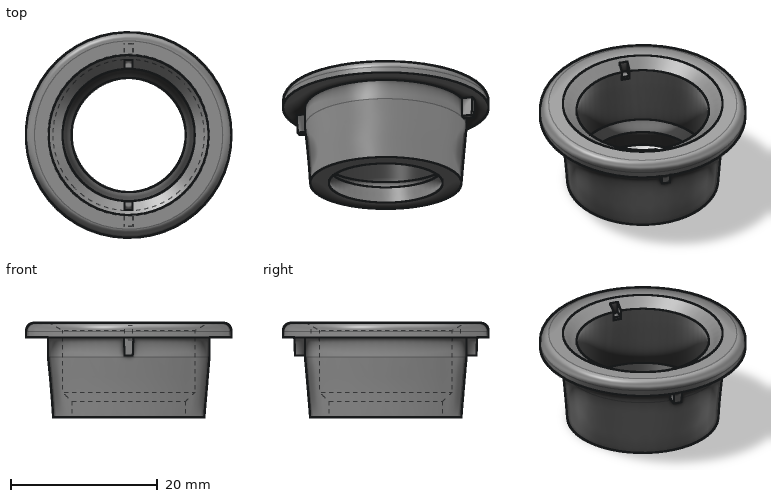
import cadquery as cq

total_height = 12.9
flange_radius = 14.0
flange_thickness = 2.0
flange_round = 1.2
flange_bottom = total_height - flange_thickness

barrel_radius = 11.0
barrel_end_radius = 10.3
straight_length = 2.7
taper_top = flange_bottom - straight_length

bore_radius = 9.0
outlet_radius = 7.75
countersink_radius = 10.87
countersink_depth = 1.1
seat_depth = 9.5
seat_height = 1.2
countersink_bottom = total_height - countersink_depth
seat_top = total_height - seat_depth
seat_bottom = seat_top - seat_height

lug_height = 2.5
lug_reach = 12.45
lug_end_reach = 12.35
lug_width = 1.3
lug_end_width = 1.1
lug_root = (bore_radius + barrel_radius) / 2

notch_width = 1.1
notch_reach = 10.2
notch_depth = flange_thickness
notch_overlap = 1.0
notch_root = bore_radius - notch_overlap

recess_inset = 0.05
recess_reach = bore_radius + recess_inset
recess_depth = 2.4

lug_sides = (0, 180)


def make_body():
    """Revolve the flanged, hollow profile about Z."""
    profile = (
        cq.Workplane("XZ")
        .moveTo(outlet_radius, 0)
        .lineTo(barrel_end_radius, 0)
        .lineTo(barrel_radius, taper_top)
        .lineTo(barrel_radius, flange_bottom)
        .lineTo(flange_radius, flange_bottom)
        .lineTo(flange_radius, total_height - flange_round)
        .radiusArc((flange_radius - flange_round, total_height), -flange_round)
        .lineTo(countersink_radius, total_height)
        .lineTo(bore_radius, countersink_bottom)
        .lineTo(bore_radius, seat_top)
        .lineTo(outlet_radius, seat_bottom)
        .close()
    )
    return profile.revolve(360, (0, 0, 0), (0, 1, 0))


def make_lug():
    """Loft a lug on the +Y side that narrows downward from the flange."""
    length = lug_reach - lug_root
    end_length = lug_end_reach - lug_root
    return (
        cq.Workplane("XY", origin=(0, lug_root, flange_bottom))
        .center(0, length / 2)
        .rect(lug_width, length)
        .workplane(offset=-lug_height)
        .center(0, (end_length - length) / 2)
        .rect(lug_end_width, end_length)
        .loft()
    )


def make_slot(reach, depth):
    """Flat-floored cutter on the +Y side, from inside the bore out to the given reach."""
    length = reach - notch_root
    return (
        cq.Workplane("XY", origin=(0, notch_root + length / 2, total_height - depth))
        .box(notch_width, length, depth, centered=(True, True, False))
    )


def make_notch():
    """Cutter for a countersink notch and the shallow recess under its inner edge."""
    notch = make_slot(notch_reach, notch_depth)
    return notch.union(make_slot(recess_reach, recess_depth))


result = make_body()
for angle in lug_sides:
    result = result.union(make_lug().rotate((0, 0, 0), (0, 0, 1), angle))
    result = result.cut(make_notch().rotate((0, 0, 0), (0, 0, 1), angle))